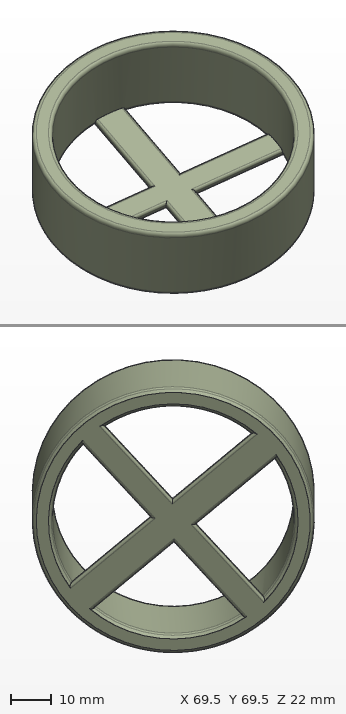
import cadquery as cq

outer_diameter = 69.5
inner_diameter = 59.5
ring_height = 22.0
top_rounding = 1.0
base_chamfer = 1.0
base_rounding = 1.0

x_bar_width = 8.5
y_bar_width = 7.0
bar_height = 2.0
bar_rounding = 0.7
bar_length = (inner_diameter + outer_diameter) / 2

edge_tolerance = 0.01


def make_ring():
    """Open ring, rounded on top and bevelled around its base."""
    ring = (
        cq.Workplane("XY")
        .circle(outer_diameter / 2)
        .circle(inner_diameter / 2)
        .extrude(ring_height)
    )
    ring = ring.faces(">Z").edges().fillet(top_rounding)
    ring = ring.faces("<Z").edges().chamfer(base_chamfer)
    chamfer_upper_edges = cq.selectors.BoxSelector(
        (-outer_diameter, -outer_diameter, base_chamfer - edge_tolerance),
        (outer_diameter, outer_diameter, base_chamfer + edge_tolerance),
        boundingbox=True,
    )
    return ring.edges(chamfer_upper_edges).fillet(base_rounding)


def make_bar(width, angle):
    """Bar with rounded long edges along X, turned about Z, with its ends inside the ring wall."""
    bar = cq.Workplane("XY").box(bar_length, width, bar_height, centered=(True, True, False))
    bar = bar.edges("|X").fillet(bar_rounding)
    return bar.rotate((0, 0, 0), (0, 0, 1), angle)


x_bar = make_bar(x_bar_width, 0)
y_bar = make_bar(y_bar_width, 90)
result = make_ring().union(x_bar).union(y_bar)